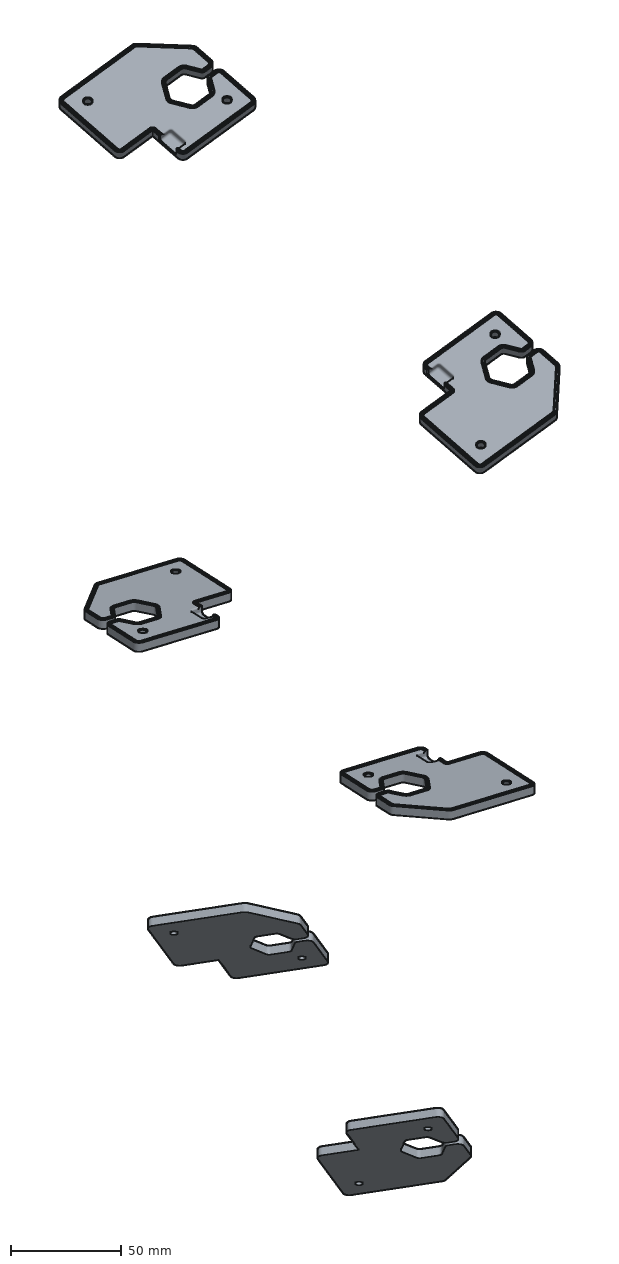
import cadquery as cq
overall_length = 284.0
plate_width = 62.0
plate_height = 67.0
plate_thickness = 5.0
cut_corner = 19.5
leg_width = 42.0
notch_height = 20.5
corner_radius = 3.0

rim_height = 0.5
rim_base = 1.75
face_height = plate_thickness - rim_height

hex_across_flats = 19.0
hex_corner_radius = 2.0
hex_x = 34.7
hex_from_top = 18.0
slot_width = 2.5
slot_mouth_radius = 2.0

hole_diameter = 3.5
hole_inset = 10.0
countersink_depth = 0.5

pocket_x = 46.75
pocket_width = 10.5
pocket_length = 6.75
pocket_floor = 1.0
pocket_radius = 1.25
pocket_brim_radius = 0.75

margin = 0.01
brim_margin = 0.1

hex_y = plate_height - hex_from_top


def slab(workplane):
    """Extrude a sketch through the full plate thickness."""
    return workplane.extrude(plate_thickness)


def blank():
    """L-shaped plate with one corner cut off, its outer corners rounded."""
    plate = slab(
        cq.Workplane("XY")
        .moveTo(0, 0)
        .lineTo(leg_width, 0)
        .lineTo(leg_width, notch_height)
        .lineTo(plate_width, notch_height)
        .lineTo(plate_width, plate_height)
        .lineTo(cut_corner, plate_height)
        .lineTo(0, plate_height - cut_corner)
        .close()
    )
    upright = cq.selectors.ParallelDirSelector(cq.Vector(0, 0, 1))
    inner_corner = cq.selectors.NearestToPointSelector((leg_width, notch_height, plate_thickness / 2))
    outer_corners = cq.selectors.SubtractSelector(upright, inner_corner)
    return plate.edges(outer_corners).fillet(corner_radius)


def hex_opening():
    """Hexagonal prism with two upright flats and rounded corners."""
    hexagon = slab(cq.Workplane("XY").center(hex_x, hex_y).polygon(6, hex_across_flats, circumscribed=True))
    return hexagon.edges("|Z").fillet(hex_corner_radius)


def cut_slot(plate):
    """Open the hexagon through the top edge and round both ends of the slot."""
    slot = slab(
        cq.Workplane("XY")
        .center(hex_x, hex_y + hex_from_top / 2)
        .rect(slot_width, hex_from_top)
    )
    plate = plate.cut(slot)
    slot_side = slot_width / 2 + margin
    top_band = cq.selectors.BoxSelector(
        (hex_x - slot_side, plate_height - margin, 0),
        (hex_x + slot_side, plate_height + margin, plate_thickness),
    )
    plate = plate.edges(top_band).edges("|Z").fillet(corner_radius)
    mouth = cq.selectors.BoxSelector(
        (hex_x - slot_side, hex_y, 0),
        (hex_x + slot_side, plate_height - 2 * corner_radius, plate_thickness),
    )
    return plate.edges(mouth).edges("|Z").fillet(slot_mouth_radius)


def raise_rim(plate):
    """Bevel the top edge, then sink the face inside it so that a rim stays."""
    footprint = plate.faces("<Z").wires().val().translate((0, 0, face_height))
    recess = (
        cq.Workplane("XY", origin=(0, 0, face_height))
        .newObject([footprint])
        .toPending()
        .offset2D(-rim_base)
        .extrude(rim_height, taper=-45)
    )
    return plate.faces(">Z").edges().chamfer(rim_height).cut(recess)


def screw_holes():
    """Two through holes, each countersunk from the sunk face."""
    places = [(hole_inset, hole_inset), (plate_width - hole_inset, plate_height - hole_inset)]
    holes = slab(cq.Workplane("XY").pushPoints(places).circle(hole_diameter / 2))
    countersinks = (
        cq.Workplane("XY", origin=(0, 0, face_height - countersink_depth))
        .pushPoints(places)
        .circle(hole_diameter / 2)
        .extrude(countersink_depth, taper=-45)
    )
    return holes.union(countersinks)


def cut_pocket(plate):
    """Sink the pocket, bevel its front lip and round the brim where it meets the sunk face."""
    pocket = (
        cq.Workplane("XY", origin=(pocket_x, notch_height - pocket_length, pocket_floor))
        .rect(pocket_width, 2 * pocket_length, centered=False)
        .extrude(plate_thickness)
        .edges("|Z and >Y").fillet(pocket_radius)
        .faces("<Z").edges("not <Y").fillet(pocket_radius)
    )
    plate = plate.cut(pocket)
    lip = cq.selectors.NearestToPointSelector((pocket_x + pocket_width / 2, notch_height, pocket_floor))
    plate = plate.edges(lip).chamfer(rim_height)
    pocket_end_x = pocket_x + pocket_width
    pocket_end_y = notch_height + pocket_length
    brim = cq.selectors.BoxSelector(
        (pocket_x - brim_margin, notch_height + rim_base + brim_margin, face_height - margin),
        (pocket_end_x + brim_margin, pocket_end_y + brim_margin, face_height + margin),
    )
    return plate.edges(brim).fillet(pocket_brim_radius)


def holder_plate():
    plate = cut_slot(blank().cut(hex_opening()))
    return cut_pocket(raise_rim(plate).cut(screw_holes()))


left_plate = holder_plate().translate((-overall_length / 2, 0, 0))
right_plate = left_plate.mirror("YZ")

result = cq.Compound.makeCompound([left_plate.val(), right_plate.val()])